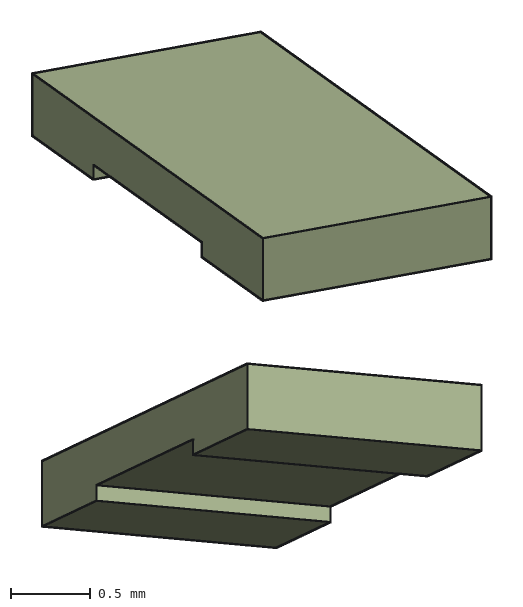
import cadquery as cq

length = 3.2
width = 1.6
height = 0.42

channel_length = 1.5
channel_depth = 0.1

block = cq.Workplane("XY").box(length, width, height, centered=(True, True, False))
channel = cq.Workplane("XY").box(
    channel_length, width, channel_depth, centered=(True, True, False)
)

result = block.cut(channel)